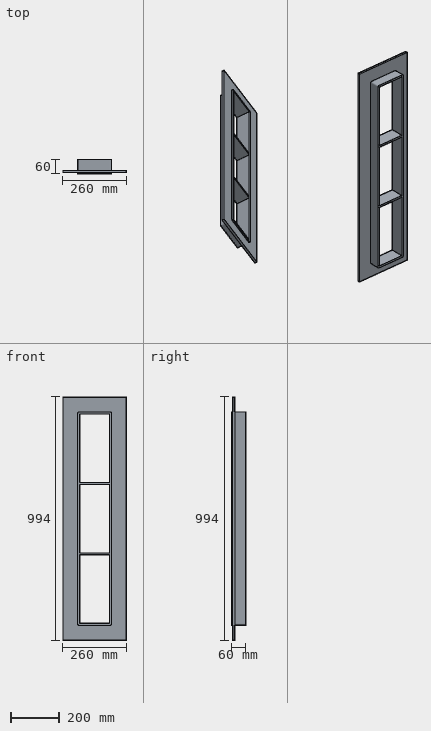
import cadquery as cq

plate_width = 260.0
plate_height = 994.0
plate_thickness = 10.0

depth = 60.0
front_lip = 5.0
flange_margin = 61.0
wall = 9.0
corner_radius = 7.0
sleeve_width = plate_width - 2 * flange_margin
sleeve_height = plate_height - 2 * flange_margin

window_count = 3
window_width = sleeve_width - 2 * wall
window_height = (sleeve_height - (window_count + 1) * wall) / window_count
window_pitch = window_height + wall


def upright_block(width, length_y, height, front_y):
    """Block centred on X and Z, running toward +Y from front_y."""
    return cq.Workplane("XY").box(width, length_y, height).translate((0, front_y + length_y / 2, 0))


front_y = -depth / 2
plate = upright_block(plate_width, plate_thickness, plate_height, front_y + front_lip)
sleeve = upright_block(sleeve_width, depth, sleeve_height, front_y).edges("|Y").fillet(corner_radius)
result = plate.union(sleeve)

window = upright_block(window_width, depth, window_height, front_y)
for index in range(window_count):
    window_z = (index - (window_count - 1) / 2) * window_pitch
    result = result.cut(window.translate((0, 0, window_z)))